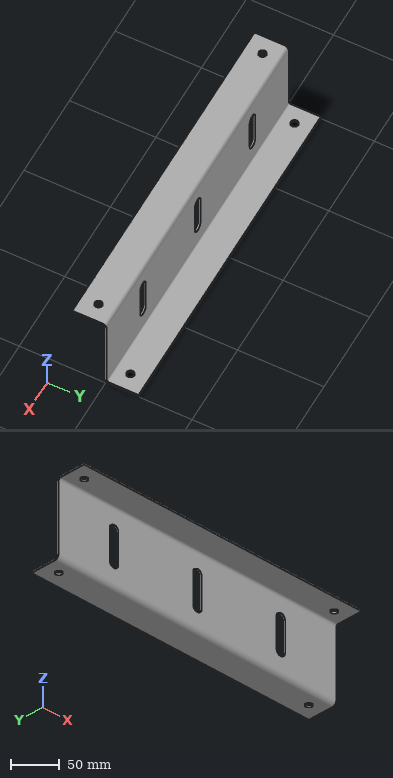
import cadquery as cq

length = 400.0
height = 100.0
thickness = 3.0
flange_width = 40.0
inner_bend_radius = 3.0
outer_bend_radius = inner_bend_radius + thickness

slot_width = 12.0
slot_length = 52.0
slot_pitch = 120.0
slot_count = 3

hole_diameter = 8.5
hole_end_distance = 20.0
hole_edge_distance = 20.0

half_length = length / 2
half_height = height / 2
half_web = thickness / 2
flange_tip = flange_width - half_web


def box(size_x, size_y, size_z, center):
    return cq.Workplane("XY").box(size_x, size_y, size_z).translate(center)


def make_flange(side):
    """Flange running from the web toward +Y (side = 1) or -Y (side = -1)."""
    center_y = side * (flange_tip - flange_width / 2)
    center_z = -side * (half_height - half_web)
    return box(length, flange_width, thickness, (0, center_y, center_z))


def make_angle(side):
    """Half of the profile: half of the web, one flange and the rounded bend between them."""
    web_half = box(length, thickness, half_height, (0, 0, -side * half_height / 2))
    angle = web_half.union(make_flange(side))
    outer_corner = cq.selectors.NearestToPointSelector((0, -side * half_web, -side * half_height))
    inner_corner = cq.selectors.NearestToPointSelector(
        (0, side * half_web, -side * (half_height - thickness))
    )
    angle = angle.edges(inner_corner).fillet(inner_bend_radius)
    return angle.edges(outer_corner).fillet(outer_bend_radius)


def make_web_slots():
    return (
        cq.Workplane("XZ")
        .rarray(slot_pitch, 1, slot_count, 1)
        .slot2D(slot_length, slot_width, 90)
        .extrude(thickness, both=True)
    )


def make_flange_holes():
    spacing_x = length - 2 * hole_end_distance
    spacing_y = 2 * (flange_tip - hole_edge_distance)
    return (
        cq.Workplane("XY")
        .rarray(spacing_x, spacing_y, 2, 2)
        .circle(hole_diameter / 2)
        .extrude(height, both=True)
    )


result = make_angle(1).union(make_angle(-1)).clean()
result = result.cut(make_web_slots()).cut(make_flange_holes())